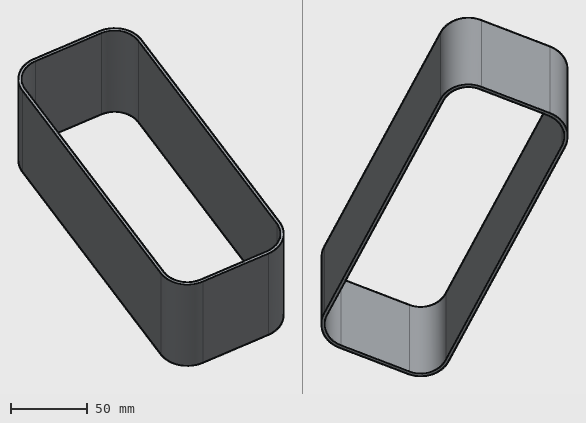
import cadquery as cq

length = 222.0
width = 89.0
height = 80.0
wall = 2.2
corner_radius = 20.0


def rounded_block(block_length, block_width, radius):
    """Upright block with its four vertical edges rounded."""
    block = cq.Workplane("XY").rect(block_length, block_width).extrude(height)
    return block.edges("|Z").fillet(radius)


outer = rounded_block(length, width, corner_radius)

opening = rounded_block(length - 2 * wall, width - 2 * wall, corner_radius - wall)

result = outer.cut(opening)